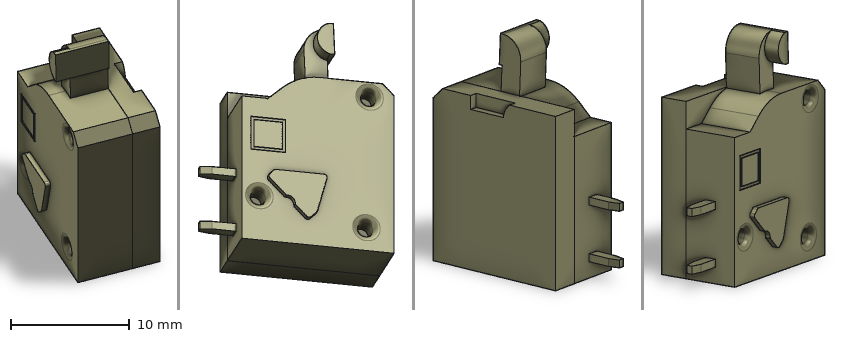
import cadquery as cq
import math


HOUSING_WIDTH = 13.23
HOUSING_HEIGHT = 15.43
HOUSING_DEPTH = 5.0
COVER_DEPTH = 2.5
CORNER_CHAMFER = 1.0
FRONT_FACE_Y = -HOUSING_DEPTH

STEP_DROP = 2.4
STEP_LENGTH = 2.25
RAMP_ANGLE = math.radians(42)
RAMP_ROUND_RADIUS = 5.0

NOTCH_START = 5.0
NOTCH_LENGTH = 4.2
NOTCH_DEPTH = 1.23
NOTCH_WIDTH = 0.74
NOTCH_ARC_LENGTH = 0.65
NOTCH_ARC_RADIUS = 1.87

HOLE_CENTRES = [(11.1, 14.07), (1.52, 4.05), (10.82, 2.1)]
HOLE_RADIUS = 0.65
HOLE_DEPTH = 2.0
FLARE_RADIUS = 0.53

GROOVE_CENTRE = (2.3, 9.75)
GROOVE_OUTER_SIZE = 3.0
GROOVE_WIDTH = 0.27
GROOVE_DEPTH = 0.1

PLATE_THICKNESS = 0.5
PLATE_CORNERS = [(2.1, 5.77), (2.71, 6.39), (7.37, 6.39), (6.45, 2.94), (5.7, 2.2)]
PLATE_CORNER_RADIUS = 0.29
BITE_CENTRE = (3.82, 3.45)
BITE_RADIUS = 0.7

LEVER_TOP_Z = 20.55
LEVER_FOOT_X = 5.92
LEVER_TILT = 2.5
LEVER_WIDTH = 2.0
LEVER_DEPTH = 3.45
LEVER_ROUND_RADIUS = LEVER_WIDTH
NOSE_REACH = 2.3
NOSE_HEIGHT = 2.8
NOSE_RADIUS = 1.45
NOSE_DEPTH = 4.85
FOOT_EMBED = 1.03

PIN_COUNT = 2
LOWEST_PIN_Z = 1.8
PIN_PITCH = 5.01
PIN_LENGTH = 3.08
PIN_WIDTH = 1.0
PIN_HEIGHT = 0.7
PIN_TIP_WIDTH = 0.51
PIN_TAPER_LENGTH = 1.0


def extrude_between(profile, front_y, back_y):
    """Extrude an XZ profile from front_y back to back_y."""
    return profile.extrude(front_y - back_y).translate((0, front_y, 0))


def chamfered_end(profile):
    """Close a housing outline along the top, the chamfered corner, the right side and the underside."""
    return (
        profile.lineTo(HOUSING_WIDTH - CORNER_CHAMFER, HOUSING_HEIGHT)
        .lineTo(HOUSING_WIDTH, HOUSING_HEIGHT - CORNER_CHAMFER)
        .lineTo(HOUSING_WIDTH, 0)
        .close()
    )


def make_housing_block():
    step_z = HOUSING_HEIGHT - STEP_DROP
    round_drop = RAMP_ROUND_RADIUS * (1 - math.cos(RAMP_ANGLE))
    ramp_top_x = STEP_LENGTH + (STEP_DROP - round_drop) / math.tan(RAMP_ANGLE)
    round_end_x = ramp_top_x + RAMP_ROUND_RADIUS * math.sin(RAMP_ANGLE)
    profile = (
        cq.Workplane("XZ")
        .lineTo(0, step_z)
        .lineTo(STEP_LENGTH, step_z)
        .lineTo(ramp_top_x, HOUSING_HEIGHT - round_drop)
        .radiusArc((round_end_x, HOUSING_HEIGHT), RAMP_ROUND_RADIUS)
    )
    return extrude_between(chamfered_end(profile), FRONT_FACE_Y, 0)


def make_plate():
    plate_face_y = FRONT_FACE_Y - PLATE_THICKNESS
    outline = cq.Workplane("XZ").polyline(PLATE_CORNERS).close()
    bite = cq.Workplane("XZ").center(*BITE_CENTRE).circle(BITE_RADIUS)
    return (
        extrude_between(outline, plate_face_y, FRONT_FACE_Y)
        .edges("|Y")
        .fillet(PLATE_CORNER_RADIUS)
        .cut(extrude_between(bite, plate_face_y, FRONT_FACE_Y))
    )


def make_flared_hole(x, z):
    profile = (
        cq.Workplane("XY")
        .lineTo(HOLE_RADIUS + FLARE_RADIUS, 0)
        .radiusArc((HOLE_RADIUS, FLARE_RADIUS), FLARE_RADIUS)
        .lineTo(HOLE_RADIUS, HOLE_DEPTH)
        .lineTo(0, HOLE_DEPTH)
        .close()
    )
    return profile.revolve(360, (0, 0), (0, 1)).translate((x, FRONT_FACE_Y, z))


def make_square_groove():
    inner_size = GROOVE_OUTER_SIZE - 2 * GROOVE_WIDTH
    profile = (
        cq.Workplane("XZ")
        .center(*GROOVE_CENTRE)
        .rect(GROOVE_OUTER_SIZE, GROOVE_OUTER_SIZE)
        .rect(inner_size, inner_size)
    )
    return extrude_between(profile, FRONT_FACE_Y, FRONT_FACE_Y + GROOVE_DEPTH)


def make_lever():
    tilt = math.radians(LEVER_TILT)
    top = (LEVER_TOP_Z - HOUSING_HEIGHT - NOSE_REACH * math.sin(tilt)) / math.cos(tilt)
    nose_bottom = top - NOSE_HEIGHT
    nose_arc_inset = math.sqrt(NOSE_RADIUS**2 - (NOSE_HEIGHT / 2) ** 2)
    nose_arc_x = NOSE_REACH - nose_arc_inset

    arm_profile = (
        cq.Workplane("XZ")
        .moveTo(0, -FOOT_EMBED)
        .lineTo(0, top - LEVER_ROUND_RADIUS)
        .radiusArc((LEVER_ROUND_RADIUS, top), LEVER_ROUND_RADIUS)
        .lineTo(NOSE_REACH, top)
        .lineTo(NOSE_REACH, nose_bottom)
        .lineTo(LEVER_WIDTH, nose_bottom)
        .lineTo(LEVER_WIDTH, -FOOT_EMBED)
        .close()
    )
    nose_profile = (
        cq.Workplane("XZ")
        .moveTo(NOSE_REACH, top)
        .lineTo(nose_arc_x, top)
        .threePointArc((NOSE_REACH - NOSE_RADIUS, top - NOSE_HEIGHT / 2), (nose_arc_x, nose_bottom))
        .lineTo(NOSE_REACH, nose_bottom)
        .close()
    )
    arm = extrude_between(arm_profile, -LEVER_DEPTH, 0)
    nose = extrude_between(nose_profile, -NOSE_DEPTH, -LEVER_DEPTH)
    lever = arm.union(nose).rotate((0, 0, 0), (0, 1, 0), -LEVER_TILT)
    return lever.translate((LEVER_FOOT_X, 0, HOUSING_HEIGHT))


def make_housing():
    housing = make_housing_block().union(make_plate()).cut(make_square_groove())
    for x, z in HOLE_CENTRES:
        housing = housing.cut(make_flared_hole(x, z))
    return housing.union(make_lever())


def make_notch():
    floor_z = HOUSING_HEIGHT - NOTCH_DEPTH
    profile = (
        cq.Workplane("XZ")
        .moveTo(NOTCH_START, HOUSING_HEIGHT)
        .radiusArc((NOTCH_START + NOTCH_ARC_LENGTH, floor_z), NOTCH_ARC_RADIUS)
        .lineTo(NOTCH_START + NOTCH_LENGTH, floor_z)
        .lineTo(NOTCH_START + NOTCH_LENGTH, HOUSING_HEIGHT)
        .close()
    )
    return extrude_between(profile, COVER_DEPTH - NOTCH_WIDTH, COVER_DEPTH)


def make_cover():
    profile = cq.Workplane("XZ").lineTo(0, HOUSING_HEIGHT)
    return extrude_between(chamfered_end(profile), 0, COVER_DEPTH).cut(make_notch())


def make_pin(centre_z):
    taper_x = PIN_TAPER_LENGTH - PIN_LENGTH
    profile = (
        cq.Workplane("XY")
        .moveTo(0, PIN_WIDTH / 2)
        .lineTo(taper_x, PIN_WIDTH / 2)
        .lineTo(-PIN_LENGTH, PIN_TIP_WIDTH / 2)
        .lineTo(-PIN_LENGTH, -PIN_TIP_WIDTH / 2)
        .lineTo(taper_x, -PIN_WIDTH / 2)
        .lineTo(0, -PIN_WIDTH / 2)
        .close()
    )
    return profile.extrude(PIN_HEIGHT).translate((0, FRONT_FACE_Y / 2, centre_z - PIN_HEIGHT / 2))


housing = make_housing()
cover = make_cover()
pins = [make_pin(LOWEST_PIN_Z + i * PIN_PITCH) for i in range(PIN_COUNT)]

result = cq.Compound.makeCompound([housing.val(), cover.val(), *[pin.val() for pin in pins]])